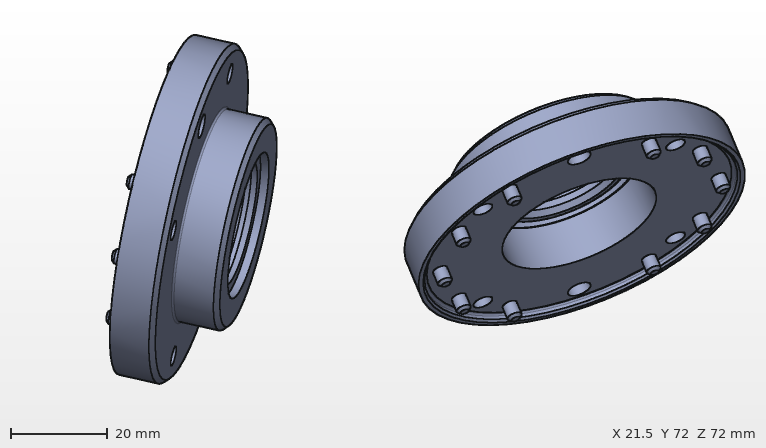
import cadquery as cq
import math


flange_radius = 36.0
flange_thickness = 9.5
hub_radius = 22.5
hub_length = 10.0
edge_chamfer = 1.1
hub_base_fillet = 0.4
end_x = flange_thickness + hub_length

rim_inner_radius = 35.0
rim_chamfer = 0.5
recess_radius = rim_inner_radius - rim_chamfer
recess_depth = 1.5
relief_radius = 0.4
relief_center_x = 1.4
relief_center_r = recess_radius - relief_radius

bore_radius = 17.0
bore_end_x = 11.45
groove_outer_radius = 16.7
groove_inner_radius = 15.5
collar_chamfer = 0.35
collar_x = 11.8
throat_radius = 13.75
lip_radius = 12.95
first_lip_x = 13.2
valley_start_x = 15.1
valley_end_x = 16.2
second_lip_x = 17.7
groove_end_x = valley_start_x
end_counterbore_radius = groove_inner_radius

pin_radius = 1.6
pin_tip_chamfer = 0.65
pin_protrusion = 2.0
pin_circle_radius = 30.7
pin_spacing = 30
pin_angles = [a for a in range(0, 360, pin_spacing) if a not in (90, 270)]
hole_circle_radius = 30.0
large_hole_radius = 2.5
large_hole_angles = (90, 270)
small_hole_radius = 2.1
small_hole_angles = (45, 135, 225, 315)


def ring_body():
    """Revolve the half section, drawn as (x, radius), about the X axis."""
    diagonal = relief_radius * math.sqrt(0.5)
    relief_exit_x = relief_center_x + diagonal
    relief_exit_r = relief_center_r - diagonal
    relief_ramp = relief_exit_x - recess_depth
    fillet_diagonal = hub_base_fillet * (1 - math.sqrt(0.5))
    section = (
        cq.Workplane("XY")
        .moveTo(0, flange_radius)
        .lineTo(0, rim_inner_radius)
        .lineTo(rim_chamfer, recess_radius)
        .lineTo(relief_center_x, recess_radius)
        .threePointArc(
            (relief_center_x + relief_radius, relief_center_r),
            (relief_exit_x, relief_exit_r),
        )
        .lineTo(recess_depth, relief_exit_r - relief_ramp)
        .lineTo(recess_depth, bore_radius)
        .lineTo(bore_end_x, bore_radius)
        .lineTo(bore_end_x, groove_outer_radius)
        .lineTo(groove_end_x, groove_outer_radius)
        .lineTo(groove_end_x, groove_inner_radius)
        .lineTo(collar_x + collar_chamfer, groove_inner_radius)
        .lineTo(collar_x, groove_inner_radius - collar_chamfer)
        .lineTo(collar_x, throat_radius)
        .lineTo(first_lip_x, lip_radius)
        .lineTo(valley_start_x, throat_radius)
        .lineTo(valley_end_x, throat_radius)
        .lineTo(second_lip_x, lip_radius)
        .lineTo(second_lip_x, end_counterbore_radius)
        .lineTo(end_x, end_counterbore_radius)
        .lineTo(end_x, hub_radius - edge_chamfer)
        .lineTo(end_x - edge_chamfer, hub_radius)
        .lineTo(flange_thickness + hub_base_fillet, hub_radius)
        .threePointArc(
            (flange_thickness + fillet_diagonal, hub_radius + fillet_diagonal),
            (flange_thickness, hub_radius + hub_base_fillet),
        )
        .lineTo(flange_thickness, flange_radius - edge_chamfer)
        .lineTo(flange_thickness - edge_chamfer, flange_radius)
        .close()
    )
    return section.revolve(360, (0, 0, 0), (1, 0, 0))


def circle_points(radius, angles):
    """Points in the YZ plane, with angles counted from +Y toward +Z."""
    return [
        (radius * math.cos(math.radians(a)), radius * math.sin(math.radians(a)))
        for a in angles
    ]


def pins():
    """Pins from the recess floor to beyond the rim, with chamfered tips."""
    return (
        cq.Workplane("YZ", origin=(recess_depth, 0, 0))
        .pushPoints(circle_points(pin_circle_radius, pin_angles))
        .circle(pin_radius)
        .extrude(-(pin_protrusion + recess_depth))
        .faces("<X")
        .chamfer(pin_tip_chamfer)
    )


def flange_holes(radius, angles):
    """Cutters for holes right through the flange."""
    return (
        cq.Workplane("YZ")
        .pushPoints(circle_points(hole_circle_radius, angles))
        .circle(radius)
        .extrude(flange_thickness)
    )


result = (
    ring_body()
    .union(pins())
    .cut(flange_holes(large_hole_radius, large_hole_angles))
    .cut(flange_holes(small_hole_radius, small_hole_angles))
)